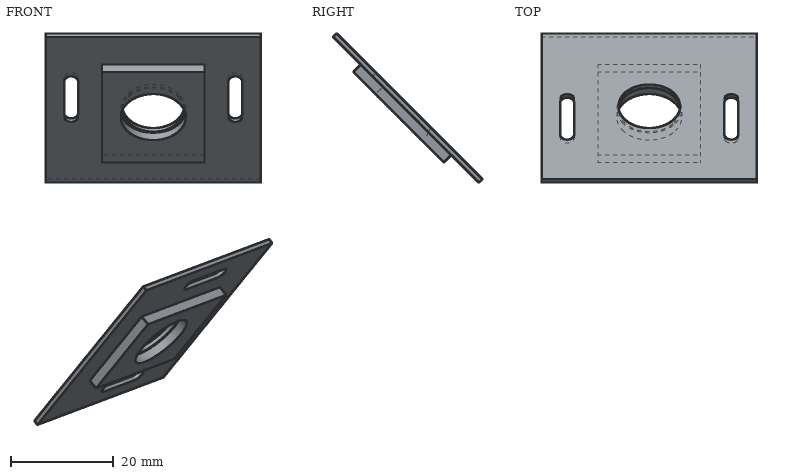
import cadquery as cq

tilt_angle = -45.0
plate_width = 42.0
plate_length = 40.2
plate_thickness = 1.0

pad_width = 20.0
pad_length = 25.0
pad_thickness = 2.0

plate_hole_diameter = 12.0
pad_hole_diameter = 12.7

slot_width = 2.7
slot_length = 12.5
slot_spacing = 32.0
slot_offset = 2.95

plate_face = cq.Workplane("XY")
pad_face = cq.Workplane("XY").workplane(offset=-pad_thickness)


def make_plate():
    """Flat plate with the central hole and the two slots."""
    plate = plate_face.rect(plate_width, plate_length).extrude(plate_thickness)
    hole = plate_face.circle(plate_hole_diameter / 2).extrude(plate_thickness)
    slot_centres = [(side * slot_spacing / 2, -slot_offset) for side in (-1, 1)]
    slots = (
        plate_face.pushPoints(slot_centres)
        .slot2D(slot_length, slot_width, angle=90)
        .extrude(plate_thickness)
    )
    return plate.cut(hole).cut(slots)


def make_pad():
    """Rectangular pad with the wider part of the stepped hole."""
    pad = pad_face.rect(pad_width, pad_length).extrude(pad_thickness)
    hole = pad_face.circle(pad_hole_diameter / 2).extrude(pad_thickness)
    return pad.cut(hole)


flat_part = make_plate().union(make_pad())

result = flat_part.rotate((0, 0, 0), (1, 0, 0), tilt_angle)